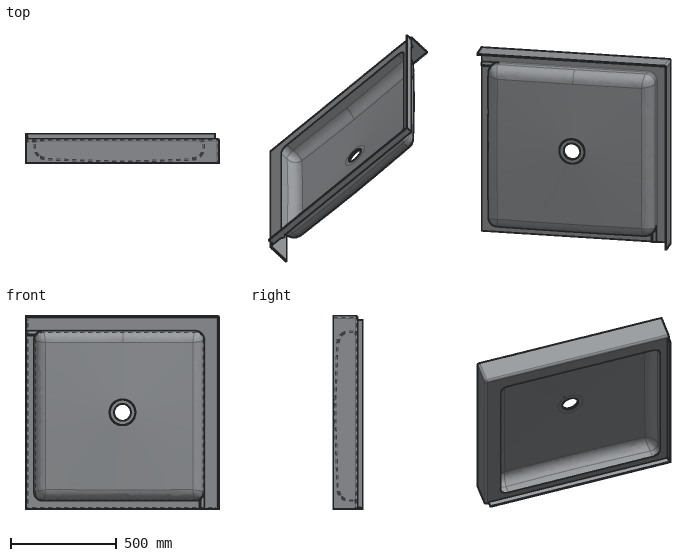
import cadquery as cq
import math

side = 914.4
height = 139.7
wall = 6.35
half = side / 2

flange_rise = 23.8
flange_stop = 19.5
flange_top_width = 6.35
flange_foot_width = 8.5

deck_top = height - flange_rise
deck_under = deck_top - wall

skirt_radius = 11.0

flange_margin = 38.2
skirt_margin = 71.5
basin_size = side - flange_margin - skirt_margin
basin_centre = (flange_margin - skirt_margin) / 2
basin_corner_radius = 44.0
basin_floor_radius = 56.0

ridge_cove_radius = 4.0
ridge_peak = 87.0
ridge_end = 95.0
ridge_drop = 8.0

drain_hole_radius = 39.5
drain_collar_radius = 62.0
drain_collar_chamfer = 2.5
collar_bottom = 3.0
floor_at_collar = 6.0
floor_fall = 0.035


def block(x_span, z_span, y_span):
    """Box between two limits on each axis."""
    size = [span[1] - span[0] for span in (x_span, y_span, z_span)]
    return cq.Workplane("XY").box(*size, centered=False).translate((x_span[0], y_span[0], z_span[0]))


def skirted_deck():
    """Deck plate with a thin skirt on +X and +Z; the other two sides are open underneath."""
    outer = block((-half, half), (-half, half), (0, deck_top))
    outer = outer.edges("|Y and >X and >Z").fillet(skirt_radius)
    outer = outer.faces(">Y").edges("not (<X or <Z)").fillet(skirt_radius)
    limit = half - wall
    inner = block((-side, limit), (-side, limit), (-height, deck_under))
    inner = inner.edges("|Y and >X and >Z").fillet(skirt_radius - wall)
    inner = inner.faces(">Y").edges("not (<X or <Z)").fillet(skirt_radius - wall)
    return outer.cut(inner)


def swap_x_and_z(body):
    """Mirror a feature of one side onto its neighbour across the X = Z diagonal."""
    return body.rotate((0, 0, 0), (0, 1, 0), -90).mirror("YZ")


def flange():
    """Tile flange along -X with a slightly tapered inner face."""
    return (
        cq.Workplane("XY", origin=(0, 0, -half))
        .moveTo(-half, deck_under)
        .lineTo(-half, height)
        .lineTo(-half + flange_top_width, height)
        .lineTo(-half + flange_foot_width, deck_top)
        .lineTo(-half + flange_foot_width, deck_under)
        .close()
        .extrude(side - flange_stop)
    )


def ridge_profile(turn_centre):
    """Ridge section, looking along Z: a cove down the basin wall, a slope to the peak, a steep return."""
    wall_x = half - skirt_margin
    cove_x = wall_x + ridge_cove_radius
    cove_middle = ridge_cove_radius * math.sqrt(0.5)
    root = deck_under + wall / 2
    return (
        cq.Workplane("XY", origin=(0, 0, turn_centre))
        .moveTo(half - ridge_end, root)
        .lineTo(cove_x, root)
        .lineTo(cove_x, deck_under)
        .threePointArc(
            (cove_x - cove_middle, deck_under - ridge_cove_radius + cove_middle),
            (wall_x, deck_under - ridge_cove_radius),
        )
        .lineTo(half - ridge_peak, deck_under - ridge_drop)
        .lineTo(half - ridge_end, deck_under)
        .close()
    )


def ridge():
    """Ridge along both thresholds, with a quarter turn concentric with the basin corner."""
    turn_centre = half - skirt_margin - basin_corner_radius
    straight = ridge_profile(turn_centre).extrude(-half - turn_centre)
    turn = ridge_profile(turn_centre).revolve(90, (turn_centre, 0, 0), (turn_centre, -1, 0))
    return straight.union(turn).union(swap_x_and_z(straight))


def floor_height(radius):
    return floor_at_collar + floor_fall * (radius - drain_collar_radius)


def basin_body(inset):
    """Solid basin shape, shrunk by `inset` from the outside surface."""
    size = basin_size - 2 * inset
    body = (
        cq.Workplane("XZ", origin=(0, deck_top, 0))
        .center(basin_centre, basin_centre)
        .rect(size, size)
        .extrude(deck_top)
        .edges("|Y")
        .fillet(basin_corner_radius - inset)
    )
    cone = (
        cq.Workplane("ZY")
        .moveTo(0, floor_height(0) + inset)
        .lineTo(side, floor_height(side) + inset)
        .lineTo(side, height)
        .lineTo(0, height)
        .close()
        .revolve(360, (0, 0, 0), (0, 1, 0))
    )
    body = body.intersect(cone)
    floor_edges = body.faces("<Y").edges().filter(lambda e: e.BoundingBox().ymax < deck_under / 2)
    return floor_edges.fillet(basin_floor_radius - inset)


def drain_cylinder(radius, bottom, top):
    return cq.Workplane("XZ", origin=(0, top, 0)).circle(radius).extrude(top - bottom)


basin_outside = basin_body(0)
basin_inside = basin_body(wall)
collar = drain_cylinder(drain_collar_radius, collar_bottom, floor_at_collar + wall)
collar = collar.faces("<Y").chamfer(drain_collar_chamfer)

result = skirted_deck()
result = result.union(flange()).union(swap_x_and_z(flange())).union(ridge())
result = result.union(basin_outside).cut(basin_inside).union(collar)
result = result.cut(drain_cylinder(drain_hole_radius, 0, deck_under))
result = cq.Workplane(result.solids().val())